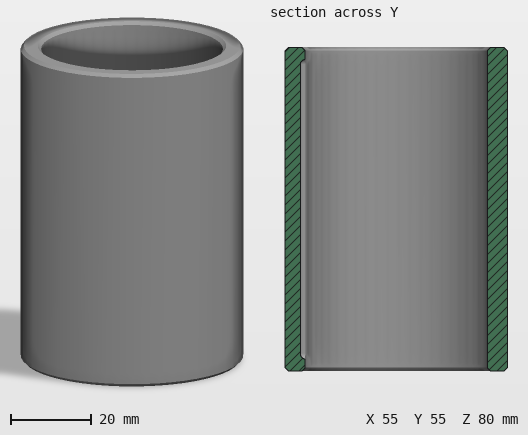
import cadquery as cq

length = 80.0
outer_diameter = 55.0
bore_diameter = 45.0
chamfer_size = 0.8

groove_radius = 1.2
groove_end_margin = 4.2
groove_length = length - 2 * groove_end_margin


def make_tube():
    tube = (
        cq.Workplane("XY")
        .circle(outer_diameter / 2)
        .circle(bore_diameter / 2)
        .extrude(length)
    )
    return tube.faces("<Z or >Z").edges().chamfer(chamfer_size)


def make_groove_cutter():
    """Capsule whose axis lies on the bore wall, parallel to Z."""
    rod = cq.Workplane("XY").circle(groove_radius).extrude(groove_length)
    for end_height in (0, groove_length):
        ball = cq.Workplane("XY").sphere(groove_radius).translate((0, 0, end_height))
        rod = rod.union(ball)
    return rod.translate((bore_diameter / 2, 0, groove_end_margin))


result = make_tube().cut(make_groove_cutter())